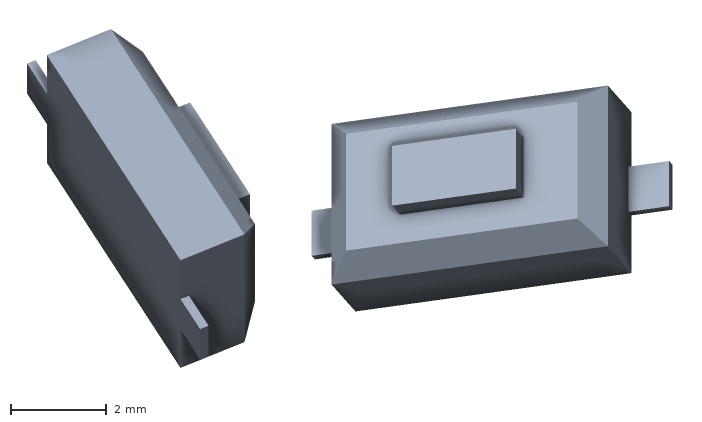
import cadquery as cq

overall_length = 7.9
overall_depth = 2.5
body_length = 6.11
body_height = 3.65
straight_depth = 1.5
bevel = 0.5
button_length = 2.73
button_height = 1.36
terminal_height = 1.03
terminal_thickness = 0.2

body_depth = straight_depth + bevel
button_depth = overall_depth - body_depth


def block(length, depth, height, start_y):
    """Box centred on X and Z that grows toward +Y from start_y."""
    return (
        cq.Workplane("XY")
        .box(length, depth, height, centered=(True, False, True))
        .translate((0, start_y, 0))
    )


body = block(body_length, body_depth, body_height, 0).faces(">Y").chamfer(bevel)

button = block(button_length, button_depth, button_height, body_depth)

terminals = block(overall_length, terminal_thickness, terminal_height, 0)

result = body.union(button).union(terminals).clean()